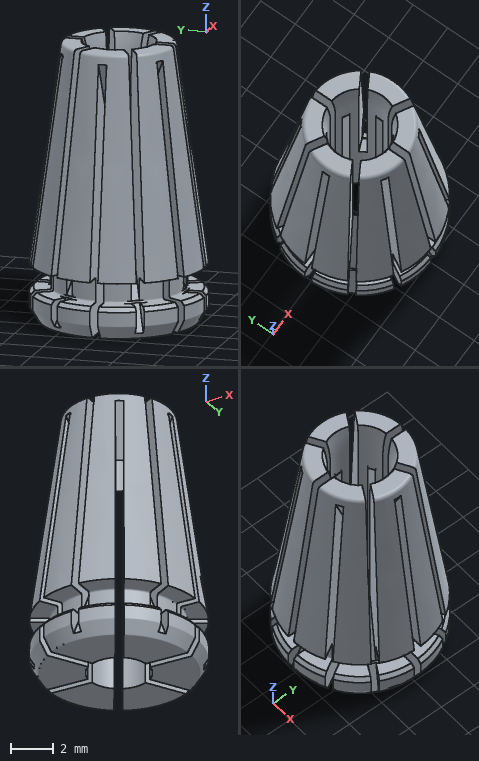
import cadquery as cq
import math

height = 13.6
max_diameter = 8.5
max_radius = max_diameter / 2
bore_diameter = 3.17
bore_radius = bore_diameter / 2

collar_bottom_radius = 3.84
collar_lower_bevel_height = 0.7
collar_top = 1.6
collar_top_bevel = 0.2
neck_radius = 3.25
neck_top = 2.8
small_fillet = 0.1

taper_angle = math.radians(8)
taper_top_radius = max_radius - (height - neck_top) * math.tan(taper_angle)
rim_fillet = 0.2

flare_depth = 1.4
flare_arc_radius = 5.0

slot_width = 0.4
slots_per_end = 6
slot_spacing = 360 / slots_per_end
top_slot_bore_height = 4.75
top_slot_outer_radius = 4.01
top_slot_outer_height = 0.33
bottom_slot_bore_height = 10.57
bottom_slot_outer_radius = 2.82
bottom_slot_outer_height = 13.14
clearance = 0.68

pick_margin = 0.01


def circle_at(radius, circle_height):
    """Selector for the circles about Z at this height, up to this radius."""
    half_side = radius + pick_margin
    return cq.selectors.BoxSelector(
        (-half_side, -half_side, circle_height - pick_margin),
        (half_side, half_side, circle_height + pick_margin),
        boundingbox=True,
    )


def make_body():
    """Solid of revolution with collar, neck, taper and rounded edges."""
    profile = (
        cq.Workplane("XZ")
        .lineTo(collar_bottom_radius, 0)
        .lineTo(max_radius, collar_lower_bevel_height)
        .lineTo(max_radius, collar_top - collar_top_bevel)
        .lineTo(max_radius - collar_top_bevel, collar_top)
        .lineTo(neck_radius, collar_top)
        .lineTo(neck_radius, neck_top)
        .lineTo(max_radius, neck_top)
        .lineTo(taper_top_radius, height)
        .lineTo(0, height)
        .close()
    )
    body = profile.revolve(360, (0, 0, 0), (0, 1, 0))
    body = body.faces(">Z").edges().fillet(rim_fillet)

    softened_circles = [
        (collar_bottom_radius, 0),
        (max_radius, collar_lower_bevel_height),
        (neck_radius, collar_top),
        (neck_radius, neck_top),
    ]
    for radius, circle_height in softened_circles:
        body = body.edges(circle_at(radius, circle_height)).fillet(small_fillet)
    return body


def make_bore():
    """Through bore with an arc flare tangent to its wall at the top."""
    flare_start = height - flare_depth
    arc_sweep = math.asin(flare_depth / flare_arc_radius)

    def flare_point(angle):
        radius = bore_radius + flare_arc_radius * (1 - math.cos(angle))
        return (radius, flare_start + flare_arc_radius * math.sin(angle))

    profile = (
        cq.Workplane("XZ")
        .lineTo(bore_radius, 0)
        .lineTo(bore_radius, flare_start)
        .threePointArc(flare_point(arc_sweep / 2), flare_point(arc_sweep))
        .lineTo(0, height)
        .close()
    )
    return profile.revolve(360, (0, 0, 0), (0, 1, 0))


def make_slot(bore_height, outer_radius, outer_height, open_height):
    """Radial slot along +X: sloping floor from bore to outside, open at one end."""
    slope = (outer_height - bore_height) / (outer_radius - bore_radius)
    far_radius = max_radius + clearance
    far_height = bore_height + slope * (far_radius - bore_radius)
    axis_height = bore_height - slope * bore_radius
    return (
        cq.Workplane("XZ")
        .moveTo(0, axis_height)
        .lineTo(far_radius, far_height)
        .lineTo(far_radius, open_height)
        .lineTo(0, open_height)
        .close()
        .extrude(slot_width / 2, both=True)
    )


result = make_body().cut(make_bore())

top_slot = make_slot(
    top_slot_bore_height, top_slot_outer_radius, top_slot_outer_height, height + clearance
)
bottom_slot = make_slot(
    bottom_slot_bore_height, bottom_slot_outer_radius, bottom_slot_outer_height, -clearance
)

for index in range(slots_per_end):
    bottom_angle = index * slot_spacing
    top_angle = bottom_angle + slot_spacing / 2
    result = result.cut(bottom_slot.rotate((0, 0, 0), (0, 0, 1), bottom_angle))
    result = result.cut(top_slot.rotate((0, 0, 0), (0, 0, 1), top_angle))